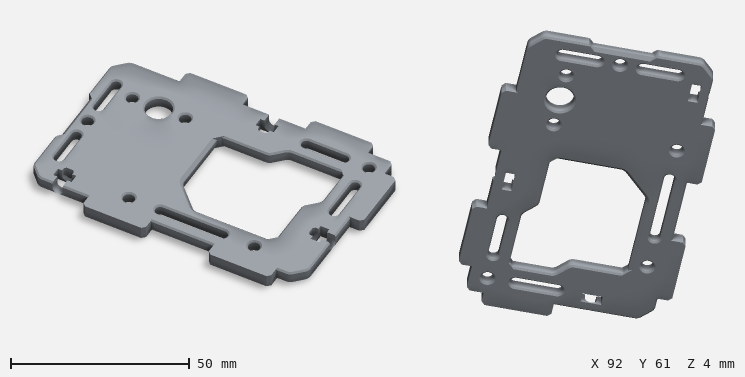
import cadquery as cq
import math

plate_length = 92.0
plate_width = 61.0
thickness = 4.0
middle_y = plate_width / 2

tab_length = 20.0
tab_pitch = 40.0
tab_depth = 4.0
tab_corner = 1.0
tab_starts = [tab_length, tab_length + tab_pitch]
right_tab_start = 32.0
right_tab_end = right_tab_start + tab_length
body_right = plate_length - tab_depth
body_bottom = tab_depth
body_top = plate_width - tab_depth

body_corner = 4.0
bend_radius = 2.5
edge_chamfer = 0.5
wide_chamfer = 1.0

notch_mouth = 20.0
notch_depth = 1.0

window_left = 40.0
window_right = 78.0
window_bottom = 14.0
window_top = 47.0
window_step = 4.05
window_step_x = 56.0
window_step_y = 30.0
window_cut_corner = 8.0
window_small_corner = 1.0
inner_right = window_right - window_step
inner_top = window_top - window_step

hole_diameter = 3.5
large_hole_diameter = 8.0
hole_row_y = 44.5
hole_pitch = 8.5
left_inset = 5.0
side_inset = 9.0
right_line_x = plate_length - side_inset
top_line_y = plate_width - side_inset
holes = [
    (tab_length - hole_pitch, hole_row_y, hole_diameter),
    (tab_length, hole_row_y, large_hole_diameter),
    (tab_length + hole_pitch, hole_row_y, hole_diameter),
    (left_inset, middle_y, hole_diameter),
    (30.0, side_inset, hole_diameter),
    (70.0, side_inset, hole_diameter),
    (right_line_x, top_line_y, hole_diameter),
]

slot_width = 3.0
left_slot_offset = 11.5
left_slot_travel = 10.0
right_slot_travel = 12.0
bottom_slot_travel = 20.0
slots = [
    (left_inset, middle_y + left_slot_offset, left_slot_travel, 90),
    (left_inset, middle_y - left_slot_offset, left_slot_travel, 90),
    (50.0, side_inset, bottom_slot_travel, 0),
    (69.0, top_line_y, right_slot_travel, 0),
    (right_line_x, 38.0, right_slot_travel, 90),
]

screw_width = 3.2
screw_reach = 7.1
screw_tip_corner = 0.55
nut_width = 5.8
nut_length = 2.8
nut_inset = 4.1
screw_channels = [
    (10.0, body_bottom, 90),
    (50.0, body_top, -90),
    (body_right, 22.0, 180),
]

tolerance = 0.05


def extrude_outline(points):
    return cq.Workplane("XY").polyline(points).close().extrude(thickness)


def round_bends(solid, places, radius):
    """Round the upright edges at the given places."""
    bends = []
    for x, y in places:
        nearest = cq.selectors.NearestToPointSelector((x, y, thickness / 2))
        bends += solid.edges(nearest).vals()
    return solid.newObject(bends).fillet(radius)


def chamfer_rims(solid, is_wanted, size):
    """Chamfer the edges of both flat faces whose middle point passes the test."""
    rims = []
    for edge in solid.faces("<Z or >Z").edges().vals():
        middle = edge.positionAt(0.5)
        if is_wanted(middle.x, middle.y):
            rims.append(edge)
    return solid.newObject(rims).chamfer(size)


def cut_with_chamfered_rims(plate, opening):
    """Cut a through opening and chamfer its whole rim on both faces."""
    box = opening.val().BoundingBox()

    def is_opening_rim(x, y):
        within_x = box.xmin - tolerance < x < box.xmax + tolerance
        within_y = box.ymin - tolerance < y < box.ymax + tolerance
        return within_x and within_y

    return chamfer_rims(plate.cut(opening), is_opening_rim, edge_chamfer)


def is_bevelled_side(x, y):
    """True on the body's sides, except those right of the first tab and above the right tab's start."""
    on_body = body_bottom - tolerance < y < body_top + tolerance and x < body_right + tolerance
    return on_body and (x < tab_length or y < right_tab_start)


def make_tab(length):
    """Tab along X from the origin; it stands out towards +Y and is rooted as deep inside the body."""
    tab = cq.Workplane("XY").box(length, 2 * tab_depth, thickness, centered=(False, True, False))
    return tab.edges("|Z and >Y").chamfer(tab_corner)


def make_plate():
    bends = [
        (0, body_bottom + body_corner),
        (body_corner, body_bottom),
        (body_right - body_corner, body_bottom),
        (body_right, body_bottom + body_corner),
        (body_corner, body_top),
        (0, body_top - body_corner),
    ]
    body = cq.Workplane("XY", origin=(0, body_bottom, 0)).box(
        body_right, body_top - body_bottom, thickness, centered=False
    )
    body = body.edges("|Z and >X and >Y").chamfer(tab_corner)
    body = body.edges("|Z and (<X or <Y)").chamfer(body_corner)
    plate = round_bends(body, bends, bend_radius)

    tab = make_tab(tab_length)
    for start in tab_starts:
        plate = plate.union(tab.translate((start, body_top, 0)))
        plate = plate.union(tab.mirror("XZ").translate((start, body_bottom, 0)))
    right_tab = tab.rotate((0, 0, 0), (0, 0, 1), -90)
    plate = plate.union(right_tab.translate((body_right, right_tab_end, 0)))
    return chamfer_rims(plate.clean(), is_bevelled_side, edge_chamfer)


def make_notch():
    """Notch with 45 degree ends and a floor that is bevelled above and below."""
    deepest = notch_depth + wide_chamfer
    half_mouth = notch_mouth / 2
    half_floor = half_mouth - deepest
    plan = extrude_outline([
        (0, -half_mouth),
        (deepest, -half_floor),
        (deepest, half_floor),
        (0, half_mouth),
    ])
    section = [
        (0, 0),
        (deepest, 0),
        (notch_depth, wide_chamfer),
        (notch_depth, thickness - wide_chamfer),
        (deepest, thickness),
        (0, thickness),
    ]
    floor = cq.Workplane("XZ").polyline(section).close().extrude(half_mouth, both=True)
    return plan.intersect(floor).translate((0, middle_y, 0))


def is_window_side(x, y):
    """True on the window's rim, except on its three small corners."""
    within_x = window_left - tolerance < x < window_right + tolerance
    within_y = window_bottom - tolerance < y < window_top + tolerance
    small_corners = [
        (window_left, inner_top),
        (inner_right, window_bottom),
        (window_right, window_top),
    ]
    is_small_corner = any(math.dist((x, y), corner) < window_small_corner for corner in small_corners)
    return within_x and within_y and not is_small_corner


def is_below_diagonal(x, y):
    """True below the window's diagonal from its upper left to its lower right corner."""
    across = (x - window_left) / (inner_right - window_left)
    up = (y - window_bottom) / (inner_top - window_bottom)
    return across + up < 1


def cut_window(plate):
    lower_left_bends = [
        (window_left, window_bottom + window_cut_corner),
        (window_left + window_cut_corner, window_bottom),
    ]
    right_step_bends = [
        (inner_right, window_step_y),
        (window_right, window_step_y + window_step),
    ]
    top_step_bends = [
        (window_step_x + window_step, window_top),
        (window_step_x, inner_top),
    ]
    opening = extrude_outline([
        *lower_left_bends,
        (inner_right - window_small_corner, window_bottom),
        (inner_right, window_bottom + window_small_corner),
        *right_step_bends,
        (window_right, window_top - window_small_corner),
        (window_right - window_small_corner, window_top),
        *top_step_bends,
        (window_left + window_small_corner, inner_top),
        (window_left, inner_top - window_small_corner),
    ])
    bends = lower_left_bends + right_step_bends + top_step_bends
    plate = plate.cut(round_bends(opening, bends, bend_radius))

    def is_lower_left(x, y):
        return is_window_side(x, y) and is_below_diagonal(x, y)

    def is_upper_right(x, y):
        return is_window_side(x, y) and not is_below_diagonal(x, y)

    plate = chamfer_rims(plate, is_lower_left, wide_chamfer)
    return chamfer_rims(plate, is_upper_right, edge_chamfer)


def make_screw_channel():
    """Round-bottomed channel along +X from the origin, open at the top, with its nut pocket."""
    half_thickness = thickness / 2
    bore = cq.Workplane("YZ").center(0, half_thickness).circle(screw_width / 2).extrude(screw_reach)
    open_top = cq.Workplane("XY", origin=(0, -screw_width / 2, half_thickness)).box(
        screw_reach, screw_width, half_thickness, centered=False
    )
    plan = cq.Workplane("XY").rect(2 * screw_reach, screw_width).extrude(thickness)
    plan = plan.edges("|Z and >X").chamfer(screw_tip_corner)
    nut_pocket = cq.Workplane("XY").center(nut_inset, 0).rect(nut_length, nut_width).extrude(thickness)
    return bore.union(open_top).intersect(plan).union(nut_pocket)


plate = make_plate().cut(make_notch())
plate = cut_window(plate)

for x, y, diameter in holes:
    hole = cq.Workplane("XY").center(x, y).circle(diameter / 2).extrude(thickness)
    plate = cut_with_chamfered_rims(plate, hole)

for x, y, travel, angle in slots:
    slot = cq.Workplane("XY").center(x, y).slot2D(travel + slot_width, slot_width, angle).extrude(thickness)
    plate = cut_with_chamfered_rims(plate, slot)

screw_channel = make_screw_channel()
for x, y, angle in screw_channels:
    turned_channel = screw_channel.rotate((0, 0, 0), (0, 0, 1), angle)
    plate = plate.cut(turned_channel.translate((x, y, 0)))

result = plate